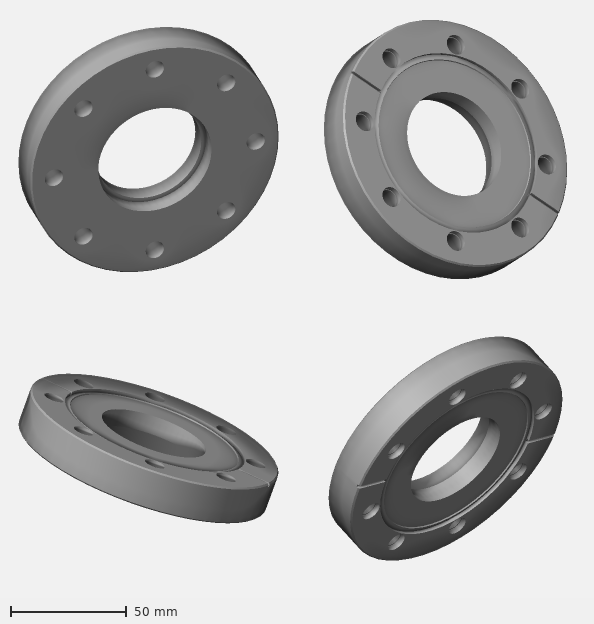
import cadquery as cq
import math

outer_diameter = 113.5
thickness = 17.3
rim_chamfer = 0.7

front_bore_diameter = 47.7
rear_bore_diameter = 51.8
bore_step_x = 9.4

recess_diameter = 82.4
recess_depth = 1.7
knife_diameter = 77.2
knife_depth = 0.8
knife_wall_taper = 0.2
floor_depth = 1.4

bolt_count = 8
bolt_circle_diameter = 92.2
bolt_hole_diameter = 8.4
bolt_counterbore_diameter = 9.1
bolt_counterbore_depth = 2.7

groove_width = 1.5
groove_depth = 1.6
groove_angle = 180 / bolt_count


def make_body():
    """Revolve the half section, drawn as (X, radius), around the X axis."""
    outer_radius = outer_diameter / 2
    front_bore_radius = front_bore_diameter / 2
    rear_bore_radius = rear_bore_diameter / 2
    recess_radius = recess_diameter / 2
    knife_radius = knife_diameter / 2
    section = [
        (floor_depth, front_bore_radius),
        (floor_depth, knife_radius - knife_wall_taper),
        (knife_depth, knife_radius),
        (recess_depth, recess_radius),
        (0, recess_radius),
        (0, outer_radius - rim_chamfer),
        (rim_chamfer, outer_radius),
        (thickness - rim_chamfer, outer_radius),
        (thickness, outer_radius - rim_chamfer),
        (thickness, rear_bore_radius),
        (bore_step_x, rear_bore_radius),
        (bore_step_x, front_bore_radius),
    ]
    return cq.Workplane("XY").polyline(section).close().revolve(360, (0, 0, 0), (1, 0, 0))


def make_bolt_hole():
    """Cutter on the X axis: a through hole with a shallow counterbore at the sealing face."""
    hole_radius = bolt_hole_diameter / 2
    counterbore_radius = bolt_counterbore_diameter / 2
    section = [
        (0, 0),
        (0, counterbore_radius),
        (bolt_counterbore_depth, counterbore_radius),
        (bolt_counterbore_depth, hole_radius),
        (thickness, hole_radius),
        (thickness, 0),
    ]
    return cq.Workplane("XY").polyline(section).close().revolve(360, (0, 0, 0), (1, 0, 0))


def make_leak_grooves():
    """Two opposite radial slots running from the recess wall out through the rim."""
    inner_end = recess_diameter / 2 - groove_width / 2
    length = outer_diameter / 2 - inner_end + groove_width
    groove = cq.Workplane("XY").box(groove_depth, length, groove_width, centered=(False, False, True))
    groove = groove.translate((0, inner_end, 0))
    first = groove.rotate((0, 0, 0), (1, 0, 0), groove_angle)
    opposite = first.rotate((0, 0, 0), (1, 0, 0), 180)
    return first.union(opposite)


result = make_body()

bolt_hole = make_bolt_hole()
for index in range(bolt_count):
    angle = math.radians(360 / bolt_count * index)
    y = bolt_circle_diameter / 2 * math.cos(angle)
    z = bolt_circle_diameter / 2 * math.sin(angle)
    result = result.cut(bolt_hole.translate((0, y, z)))

result = result.cut(make_leak_grooves())